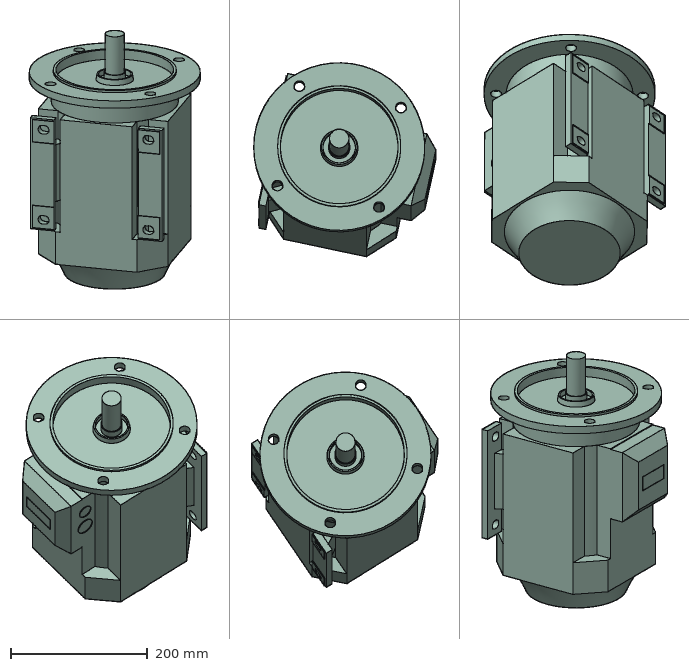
import cadquery as cq


cowl_top = 40.0
frame_base = 90.5
frame_top = 265.3
flange_bottom = 299.7
flange_top = 311.2
spigot_top = 314.5
shaft_top = 370.5

cowl_end_radius = 74.0
cowl_root_radius = 95.2
cowl_sag = 1.0
body_half = 98.5
side_half = 62.0
rib_half = 55.0
core_radius = 92.5
neck_radius = 93.0

flange_diameter = 250.0
spigot_radius = 90.0
recess_radius = 86.0
recess_floor = flange_bottom
flange_hole_radius = 7.8
flange_hole_offset = 76.0

shaft_radius = 14.0
collar_radius = 15.5
collar_height = 11.5
ring_base_radius = 27.5
ring_top_radius = 26.0
ring_bore_radius = 23.7
ring_height = 8.0

foot_inner = 64.0
foot_outer = 100.0
foot_back = 88.0
foot_gap = 1.0
pad_thickness = 1.5
pad_length = 35.0
pad_margin = 3.5
slot_length = 16.3
slot_width = 13.0
slot_x = 79.5
slot_spacing = 140.0
web_bottom = 133.8
web_top = 222.0
web_back_outer = 82.5
web_lean = 0.54
web_overlap = 3.7

box_bottom = 153.8
box_top = 264.0
box_rim = 119.3
box_face = 136.5
plate_width = 55.0
plate_height = 22.0
plate_thickness = 0.55
entry_y = 92.5
entry_depth = 1.0
cable_entries = [(231.0, 10.5), (197.0, 13.0)]

frame_height = frame_top - frame_base
frame_mid = (frame_base + frame_top) / 2
box_height = box_top - box_bottom
box_mid = (box_bottom + box_top) / 2


def disc(radius, bottom, top):
    return cq.Workplane("XY").workplane(offset=bottom).circle(radius).extrude(top - bottom)


def block(x_range, y_range, z_range):
    ranges = (x_range, y_range, z_range)
    size = [high - low for low, high in ranges]
    return cq.Workplane("XY").box(*size, centered=False).translate(tuple(low for low, _ in ranges))


def fan_cowl():
    mid_radius = (cowl_end_radius + cowl_root_radius) / 2 - cowl_sag
    return (
        cq.Workplane("XZ")
        .lineTo(cowl_end_radius, 0)
        .threePointArc((mid_radius, cowl_top / 2), (cowl_root_radius, cowl_top))
        .lineTo(0, cowl_top)
        .close()
        .revolve(360, (0, 0), (0, 1))
    )


def housing():
    """Octagonal lower end, a round core with a block on each side, and the round neck."""
    lower_end = (
        cq.Workplane("XY")
        .workplane(offset=cowl_top)
        .rect(2 * body_half, 2 * body_half)
        .extrude(frame_base - cowl_top)
        .edges("|Z")
        .chamfer(body_half - side_half)
    )
    frame_plane = cq.Workplane("XY").workplane(offset=frame_base)
    side_blocks = frame_plane.rect(2 * body_half, 2 * side_half).extrude(frame_height)
    front_back_blocks = frame_plane.rect(2 * rib_half, 2 * body_half).extrude(frame_height)
    core = disc(core_radius, frame_base, frame_top)
    neck = disc(neck_radius, frame_top, flange_bottom)
    return lower_end.union(side_blocks).union(front_back_blocks).union(core).union(neck)


def flange():
    spigot = disc(spigot_radius, flange_top, spigot_top)
    return disc(flange_diameter / 2, flange_bottom, flange_top).union(spigot)


def flange_holes():
    pitch = 2 * flange_hole_offset
    return (
        cq.Workplane("XY")
        .workplane(offset=flange_bottom)
        .rect(pitch, pitch, forConstruction=True)
        .vertices()
        .circle(flange_hole_radius)
        .extrude(flange_top - flange_bottom)
    )


def seal_ring():
    return (
        cq.Workplane("XZ")
        .moveTo(ring_bore_radius, recess_floor)
        .lineTo(ring_base_radius, recess_floor)
        .lineTo(ring_top_radius, recess_floor + ring_height)
        .lineTo(ring_bore_radius, recess_floor + ring_height)
        .close()
        .revolve(360, (0, 0), (0, 1))
    )


def shaft():
    collar = disc(collar_radius, recess_floor, recess_floor + collar_height)
    return collar.union(disc(shaft_radius, recess_floor, shaft_top))


def foot():
    """Foot on the +X side: a bar with two pads and slots, joined to the core by a slanted web."""
    foot_bottom = frame_base + foot_gap
    foot_top = frame_top - foot_gap
    bar = block((foot_inner, foot_outer), (-body_half, -foot_back), (foot_bottom, foot_top))

    low_pad = frame_base + pad_margin
    high_pad = frame_top - pad_margin - pad_length
    for pad_bottom in (low_pad, high_pad):
        bar = bar.union(
            block(
                (foot_inner, foot_outer - pad_margin),
                (-body_half - pad_thickness, -body_half),
                (pad_bottom, pad_bottom + pad_length),
            )
        )

    slots = (
        cq.Workplane("XZ")
        .workplane(offset=foot_back)
        .center(slot_x, frame_mid)
        .rarray(3.7, slot_spacing, 1, 2)
        .slot2D(slot_length, slot_width)
        .extrude(body_half + pad_thickness - foot_back)
    )

    web_root = -side_half + web_overlap
    web_shift = web_lean * (foot_back + web_root)
    web = (
        cq.Workplane("XY")
        .workplane(offset=web_bottom)
        .polyline(
            [
                (foot_inner, -foot_back),
                (web_back_outer, -foot_back),
                (web_back_outer - web_shift, web_root),
                (foot_inner - web_shift, web_root),
            ]
        )
        .close()
        .extrude(web_top - web_bottom)
    )
    return bar.cut(slots).union(web)


def terminal_box():
    base = block((-rib_half, rib_half), (0, box_rim), (box_bottom, box_top))
    lid_depth = box_face - box_rim
    lid = (
        cq.Workplane("XZ", origin=(0, box_rim, box_mid))
        .rect(2 * rib_half, box_height)
        .workplane(offset=-lid_depth)
        .rect(2 * (rib_half - lid_depth), box_height - 2 * lid_depth)
        .loft(ruled=True)
    )
    plate = (
        cq.Workplane("XZ", origin=(0, box_face, box_mid))
        .rect(plate_width, plate_height)
        .extrude(-plate_thickness)
    )
    return base.union(lid).union(plate)


def cable_entry(height, radius):
    return cq.Workplane("YZ", origin=(-rib_half, entry_y, height)).circle(radius).extrude(entry_depth)


result = housing().union(fan_cowl()).union(flange()).union(terminal_box())
result = result.cut(disc(recess_radius, recess_floor, spigot_top)).cut(flange_holes())
result = result.union(seal_ring()).union(shaft())

right_foot = foot()
result = result.union(right_foot).union(right_foot.mirror("YZ"))

for entry_height, entry_radius in cable_entries:
    result = result.cut(cable_entry(entry_height, entry_radius))